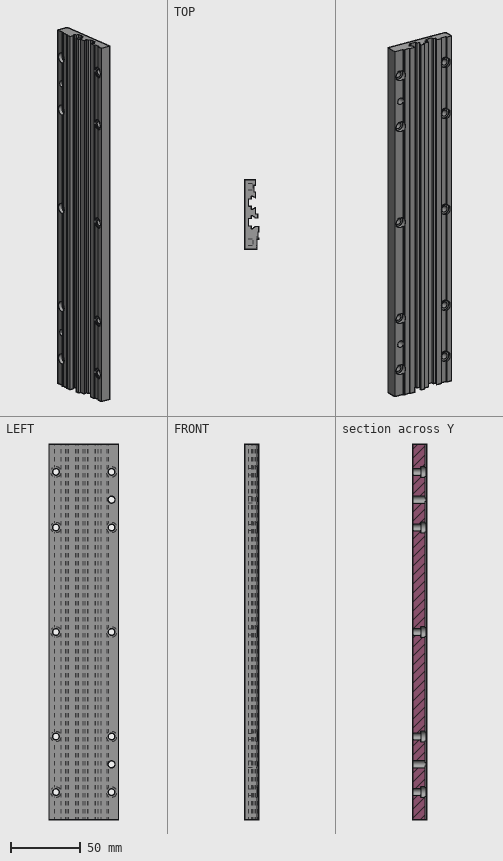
import cadquery as cq

length = 271.0
width = 50.0

base_face = 9.0
rear_face = 7.9
lip_face = 10.3
notch_floor = 9.8
tab_face = 9.5
groove_floor = 6.8
slot_floor = 3.0
slot_shoulder = 5.0
undercut_top = 5.7
head_floor = 6.0

channel_width = 5.1
front_slot_y = 19.5
front_undercut_width = 9.2
front_mouth_width = 6.0
rear_slot_y = 33.5
rear_undercut_width = 9.2
rear_mouth_width = 7.0

lip_start = 7.0
notch_start = 8.0
notch_end = 12.5
tab_end = 25.5
groove_start = 41.5
groove_end = 46.0

row_spacing = 40.0
screw_diameter = 4.5
head_diameter = 7.5
pin_diameter = 5.0
first_screw_z = 20.0
screw_spacing = 40.0
hole_margin = 2.7


def slot_points(center_y, undercut_width, mouth_width):
    """Points of one dovetail slot, from its front mouth edge to its rear one."""
    widths = [
        (rear_face, mouth_width),
        (undercut_top, undercut_width),
        (slot_shoulder, undercut_width),
        (slot_shoulder, channel_width),
        (slot_floor, channel_width),
    ]
    front_wall = [(x, center_y - w / 2) for x, w in widths]
    rear_wall = [(x, center_y + w / 2) for x, w in reversed(widths)]
    return front_wall + rear_wall


def plate():
    front_slot = slot_points(front_slot_y, front_undercut_width, front_mouth_width)
    rear_slot = slot_points(rear_slot_y, rear_undercut_width, rear_mouth_width)
    outline = [
        (0, 0),
        (base_face, 0),
        (base_face, lip_start),
        (lip_face, lip_start),
        (lip_face, notch_start),
        (notch_floor, notch_start),
        (notch_floor, notch_end),
        (lip_face, notch_end),
        (lip_face, front_slot_y - front_mouth_width / 2),
        *front_slot,
        (tab_face, front_slot_y + front_mouth_width / 2),
        (tab_face, tab_end),
        (rear_face, tab_end),
        *rear_slot,
        (rear_face, groove_start),
        (groove_floor, groove_start),
        (groove_floor, groove_end),
        (rear_face, groove_end),
        (rear_face, width),
        (0, width),
    ]
    return cq.Workplane("XY").polyline(outline).close().extrude(length)


def holes(diameter, start_x, positions):
    """Cylinders along X from start_x out past the lips, one per (y, z) position."""
    return (
        cq.Workplane("YZ", origin=(start_x, 0, 0))
        .pushPoints(positions)
        .circle(diameter / 2)
        .extrude(lip_face + hole_margin - start_x)
    )


edge_distance = (width - row_spacing) / 2
second_screw_z = first_screw_z + screw_spacing
pin_z = first_screw_z + screw_spacing / 2
screw_heights = [
    first_screw_z,
    second_screw_z,
    length / 2,
    length - second_screw_z,
    length - first_screw_z,
]
screws = [(y, z) for y in (edge_distance, width - edge_distance) for z in screw_heights]
pins = [(edge_distance, z) for z in (pin_z, length - pin_z)]

result = plate()
result = result.cut(holes(screw_diameter, -hole_margin, screws))
result = result.cut(holes(head_diameter, head_floor, screws))
result = result.cut(holes(pin_diameter, -hole_margin, pins))